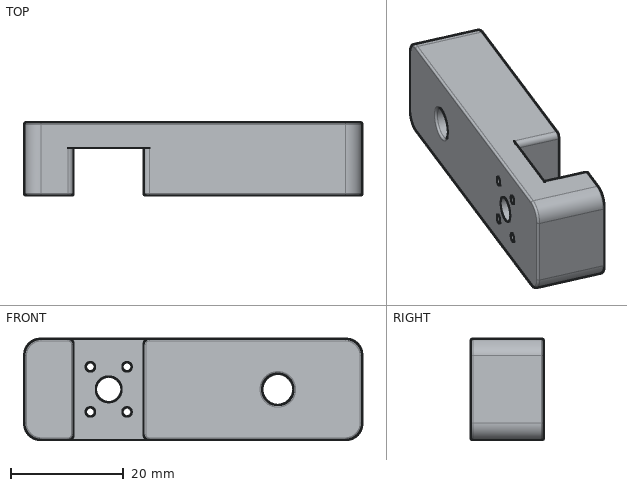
import cadquery as cq

LENGTH = 60.0
DEPTH = 13.0
HEIGHT = 18.0
CORNER_RADIUS = 3.0
EDGE_RADIUS = 0.4

SLOT_CENTER_X = 15.0
SLOT_WIDTH = 12.4
WALL_THICKNESS = 4.6
SLOT_FLOOR_Y = DEPTH - WALL_THICKNESS
SLOT_MOUTH_RADIUS = 1.0

SHAFT_HOLE_DIAMETER = 4.5
SCREW_HOLE_DIAMETER = 1.6
SCREW_SPACING_X = 6.5
SCREW_SPACING_Z = 8.0

BORE_DIAMETER = 5.5
BORE_CENTER_X = 45.0

MID_HEIGHT = HEIGHT / 2
TOLERANCE = 0.01


def make_block():
    """Block with four rounded corners, front face at Y = 0."""
    block = cq.Workplane("XY").box(LENGTH, DEPTH, HEIGHT, centered=False)
    return block.edges("|Y").fillet(CORNER_RADIUS)


def cut_slot(body):
    """Cut the full-height slot and round its side walls into the top and bottom faces."""
    slot = (
        cq.Workplane("XY")
        .box(SLOT_WIDTH, SLOT_FLOOR_Y, HEIGHT, centered=(True, False, False))
        .translate((SLOT_CENTER_X, 0, 0))
    )
    mouth_edges = cq.selectors.BoxSelector(
        (SLOT_CENTER_X - SLOT_WIDTH / 2 - TOLERANCE, 0, -TOLERANCE),
        (SLOT_CENTER_X + SLOT_WIDTH / 2 + TOLERANCE, SLOT_FLOOR_Y, HEIGHT + TOLERANCE),
    )
    return body.cut(slot).edges("|Y").edges(mouth_edges).fillet(SLOT_MOUTH_RADIUS)


def drill(body, points, diameter):
    """Drill holes along Y through the body at the given (X, Z) points."""
    drills = (
        cq.Workplane("XZ")
        .pushPoints(points)
        .circle(diameter / 2)
        .extrude(-DEPTH)
    )
    return body.cut(drills)


def round_front_and_back(body):
    """Round every edge of the front and back faces, including the bore mouths."""
    return body.faces("<Y or >Y").edges().fillet(EDGE_RADIUS)


screw_points = [
    (SLOT_CENTER_X + side * SCREW_SPACING_X / 2, MID_HEIGHT + level * SCREW_SPACING_Z / 2)
    for side in (-1, 1)
    for level in (-1, 1)
]

holder = cut_slot(make_block())
holder = drill(holder, [(BORE_CENTER_X, MID_HEIGHT)], BORE_DIAMETER)
holder = round_front_and_back(holder)
holder = drill(holder, [(SLOT_CENTER_X, MID_HEIGHT)], SHAFT_HOLE_DIAMETER)
holder = drill(holder, screw_points, SCREW_HOLE_DIAMETER)

result = cq.Compound.makeCompound([holder.val()])